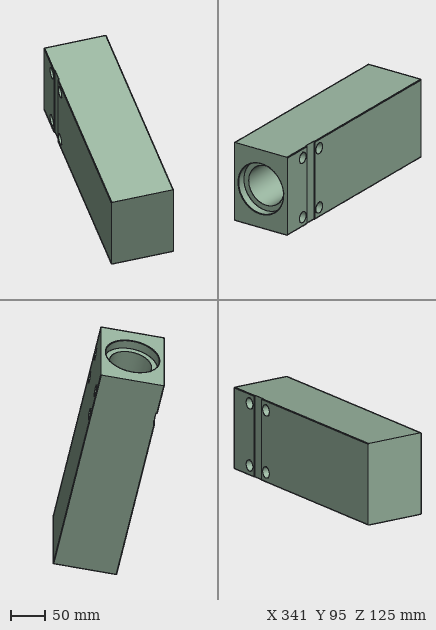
import cadquery as cq

LENGTH = 341.0
WIDTH = 95.0
HEIGHT = 125.0
EDGE_CHAMFER = 1.0

SLOT_CENTER_X = 60.0
SLOT_WIDTH = 20.0
SLOT_DEPTH = 2.0

HOLE_DIAMETER = 17.0
HOLE_SPACING_X = 42.0
HOLE_SPACING_Z = 95.0

BORE_DIAMETER = 63.0
BORE_DEPTH = 300.0
COUNTERBORE_DIAMETER = 80.0
COUNTERBORE_DEPTH = 14.0
MOUTH_CHAMFER = 0.7


def make_block():
    """Rectangular block with its four long edges chamfered."""
    block = cq.Workplane("XY").box(LENGTH, WIDTH, HEIGHT, centered=(False, True, True))
    return block.edges("|X").chamfer(EDGE_CHAMFER)


def make_slot():
    """Shallow slot running the full height of the -Y face."""
    slot = cq.Workplane("XY").box(SLOT_WIDTH, SLOT_DEPTH, HEIGHT)
    return slot.translate((SLOT_CENTER_X, (SLOT_DEPTH - WIDTH) / 2, 0))


def make_mounting_holes():
    """Four parallel cylinders along Y, long enough to pass through the block."""
    return (
        cq.Workplane("XZ")
        .center(SLOT_CENTER_X, 0)
        .rarray(HOLE_SPACING_X, HOLE_SPACING_Z, 2, 2)
        .circle(HOLE_DIAMETER / 2)
        .extrude(WIDTH / 2, both=True)
    )


def make_bore():
    """Half profile of the bore, counterbore and mouth chamfer, revolved about X."""
    bore_radius = BORE_DIAMETER / 2
    counterbore_radius = COUNTERBORE_DIAMETER / 2
    return (
        cq.Workplane("XY")
        .lineTo(0, counterbore_radius + MOUTH_CHAMFER)
        .lineTo(MOUTH_CHAMFER, counterbore_radius)
        .lineTo(COUNTERBORE_DEPTH, counterbore_radius)
        .lineTo(COUNTERBORE_DEPTH, bore_radius)
        .lineTo(BORE_DEPTH, bore_radius)
        .lineTo(BORE_DEPTH, 0)
        .close()
        .revolve(360, (0, 0, 0), (1, 0, 0))
    )


result = make_block().cut(make_slot()).cut(make_mounting_holes()).cut(make_bore())